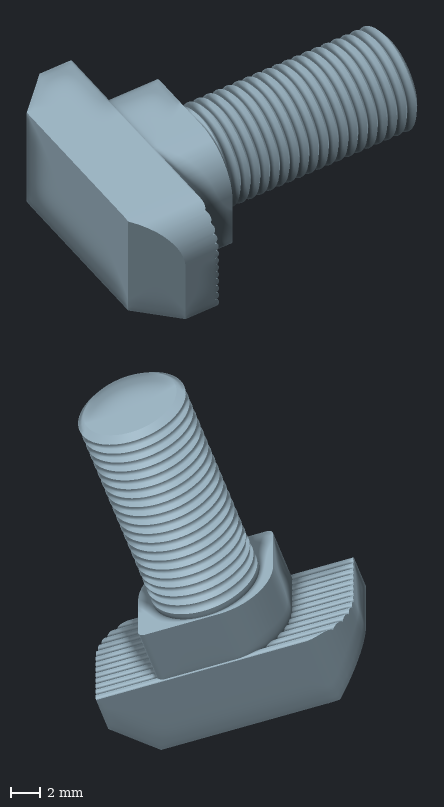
import cadquery as cq


overall_length = 25.6

head_width = 18.8
head_height = 8.4
head_depth = 5.6
head_corner_radius = 3.5
head_end_chamfer = 2.87

ridge_count = 13
ridge_stack_height = 8.45
ridge_pitch = ridge_stack_height / ridge_count
ridge_radius = ridge_pitch / 2

neck_width = 9.85
neck_height = 8.25
neck_length = 3.95
neck_large_radius = 4.0
neck_small_radius = 0.5

stud_diameter = 7.85
stud_length = overall_length - head_depth - neck_length
stud_radius = stud_diameter / 2
groove_count = 19
threaded_length = 15.6
thread_pitch = threaded_length / (groove_count + 0.5)
thread_depth = 0.55


def swing_block(width, height, start_y, length, large_radius):
    """Block along +Y with its two opposite swing corners (-X -Z and +X +Z) rounded."""
    block = cq.Workplane("XY").box(width, length, height).translate((0, start_y + length / 2, 0))
    for x_side, z_side in (("<X", "<Z"), (">X", ">Z")):
        block = block.faces(x_side).edges(z_side).fillet(large_radius)
    return block


def make_ridges():
    """Half-round ridges along X, stacked downward from the top of the head."""
    ridges = cq.Workplane("YZ", origin=(-head_width / 2, 0, 0))
    ridges = ridges.moveTo(-ridge_radius, head_height / 2)
    for ridge in range(ridge_count):
        ridge_top = head_height / 2 - ridge * ridge_pitch
        ridges = ridges.threePointArc((0, ridge_top - ridge_radius), (-ridge_radius, ridge_top - ridge_pitch))
    ridges_bottom = head_height / 2 - ridge_stack_height
    ridges = ridges.lineTo(-head_depth, ridges_bottom).lineTo(-head_depth, head_height / 2).close()
    return ridges.extrude(head_width)


def make_head():
    """T-shaped head with ridged bearing face, chamfered ends and the neck that turns in the slot."""
    head = swing_block(head_width, head_height, -head_depth, head_depth, head_corner_radius)
    half_width = head_width / 2
    chamfered_outline = (
        cq.Workplane("XY", origin=(0, 0, -head_height / 2))
        .moveTo(-half_width, 0)
        .lineTo(-half_width, head_end_chamfer - head_depth)
        .lineTo(head_end_chamfer - half_width, -head_depth)
        .lineTo(half_width - head_end_chamfer, -head_depth)
        .lineTo(half_width, head_end_chamfer - head_depth)
        .lineTo(half_width, 0)
        .close()
        .extrude(head_height)
    )
    head = head.intersect(chamfered_outline).intersect(make_ridges())

    neck = swing_block(neck_width, neck_height, -ridge_radius, neck_length + ridge_radius, neck_large_radius)
    for x_side, z_side in (("<X", ">Z"), (">X", "<Z")):
        neck = neck.faces(x_side).edges(z_side).fillet(neck_small_radius)
    return head.union(neck)


def make_stud():
    """Stud with annular V-grooves for the thread and a plain shank next to the neck."""
    root_radius = stud_radius - thread_depth
    stud_end = neck_length + stud_length
    profile = cq.Workplane("YZ").moveTo(stud_end, 0).lineTo(stud_end, root_radius)
    for groove in range(groove_count):
        root_y = stud_end - (groove + 1) * thread_pitch
        profile = profile.lineTo(root_y + thread_pitch / 2, stud_radius).lineTo(root_y, root_radius)
    profile = profile.lineTo(stud_end - threaded_length, stud_radius)
    profile = profile.lineTo(neck_length, stud_radius).lineTo(neck_length, 0).close()
    return profile.revolve(360, (0, 0, 0), (1, 0, 0))


head = make_head()
stud = make_stud()

result = cq.Compound.makeCompound([head.val(), stud.val()])